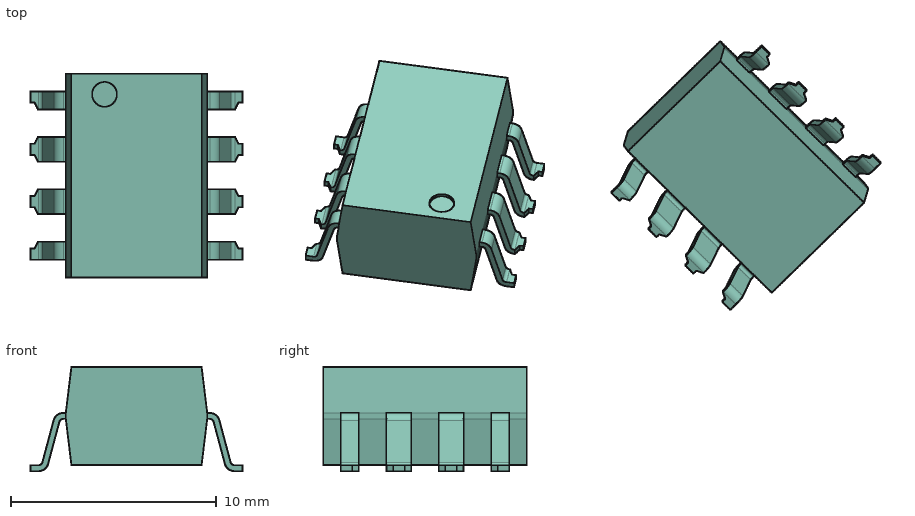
import cadquery as cq
import math

SPAN = 10.3
LENGTH = 9.91
HEIGHT = 5.08

BAND_WIDTH = 6.88
FACE_WIDTH = 6.33
LEAD_THICKNESS = 0.3
STANDOFF = LEAD_THICKNESS
BAND_TOP = 2.84
BAND_BOTTOM = BAND_TOP - LEAD_THICKNESS

MARK_DIAMETER = 1.2
MARK_DEPTH = 0.15
MARK_X = -1.56
MARK_Y = 3.95

LEAD_PITCH = 2.54
LEADS_PER_SIDE = 4
LEAD_HALF_WIDTH = 0.61
TIP_HALF_WIDTH = 0.28
TIP_LENGTH = 0.2
TAPER_LENGTH = 0.16
STUB_LENGTH = 0.11
BEND_INNER_RADIUS = 0.2
BEND_OUTER_RADIUS = BEND_INNER_RADIUS + LEAD_THICKNESS
LEG_LEAN = 15.0


def polar(center, radius, degrees):
    angle = math.radians(degrees)
    return (center[0] + radius * math.cos(angle), center[1] + radius * math.sin(angle))


def make_housing():
    half_band = BAND_WIDTH / 2
    half_face = FACE_WIDTH / 2
    outline = [
        (-half_face, STANDOFF),
        (half_face, STANDOFF),
        (half_band, BAND_BOTTOM),
        (half_band, BAND_TOP),
        (half_face, HEIGHT),
        (-half_face, HEIGHT),
        (-half_band, BAND_TOP),
        (-half_band, BAND_BOTTOM),
    ]
    block = cq.Workplane("XZ").polyline(outline).close().extrude(LENGTH / 2, both=True)
    mark = (
        cq.Workplane("XY", origin=(MARK_X, MARK_Y, HEIGHT - MARK_DEPTH))
        .circle(MARK_DIAMETER / 2)
        .extrude(MARK_DEPTH)
    )
    return block.cut(mark)


def make_lead_strip():
    """Gull-wing strip on the -X side, bent in the XZ plane and centred on Y = 0."""
    tip_x = -SPAN / 2
    root_x = -BAND_WIDTH / 2

    lean = math.radians(LEG_LEAN)
    bend_radii = BEND_INNER_RADIUS + BEND_OUTER_RADIUS
    upper_bend = (root_x - STUB_LENGTH, BAND_TOP - BEND_OUTER_RADIUS)
    foot_bend_z = BEND_OUTER_RADIUS
    leg_length = (upper_bend[1] - foot_bend_z + bend_radii * math.sin(lean)) / math.cos(lean)
    bend_run = bend_radii * math.cos(lean) + leg_length * math.sin(lean)
    foot_bend = (upper_bend[0] - bend_run, foot_bend_z)

    foot_start, foot_end = -90, -LEG_LEAN
    foot_middle = (foot_start + foot_end) / 2
    upper_start, upper_end = 90, 180 - LEG_LEAN
    upper_middle = (upper_start + upper_end) / 2

    profile = (
        cq.Workplane("XZ")
        .moveTo(tip_x, 0)
        .lineTo(*polar(foot_bend, BEND_OUTER_RADIUS, foot_start))
        .threePointArc(
            polar(foot_bend, BEND_OUTER_RADIUS, foot_middle),
            polar(foot_bend, BEND_OUTER_RADIUS, foot_end),
        )
        .lineTo(*polar(upper_bend, BEND_INNER_RADIUS, upper_end))
        .threePointArc(
            polar(upper_bend, BEND_INNER_RADIUS, upper_middle),
            polar(upper_bend, BEND_INNER_RADIUS, upper_start),
        )
        .lineTo(root_x, BAND_BOTTOM)
        .lineTo(root_x, BAND_TOP)
        .lineTo(*polar(upper_bend, BEND_OUTER_RADIUS, upper_start))
        .threePointArc(
            polar(upper_bend, BEND_OUTER_RADIUS, upper_middle),
            polar(upper_bend, BEND_OUTER_RADIUS, upper_end),
        )
        .lineTo(*polar(foot_bend, BEND_INNER_RADIUS, foot_end))
        .threePointArc(
            polar(foot_bend, BEND_INNER_RADIUS, foot_middle),
            polar(foot_bend, BEND_INNER_RADIUS, foot_start),
        )
        .lineTo(tip_x, LEAD_THICKNESS)
        .close()
    )
    return profile.extrude(LEAD_HALF_WIDTH, both=True)


def make_lead(center_y, low_half_width, high_half_width):
    """Lead on the -X side; each half width is the reach of the leg from center_y toward -Y or +Y."""
    tip_x = -SPAN / 2
    root_x = -BAND_WIDTH / 2
    taper_start_x = tip_x + TIP_LENGTH
    taper_end_x = taper_start_x + TAPER_LENGTH
    plan = [
        (tip_x, -TIP_HALF_WIDTH),
        (taper_start_x, -TIP_HALF_WIDTH),
        (taper_end_x, -low_half_width),
        (root_x, -low_half_width),
        (root_x, high_half_width),
        (taper_end_x, high_half_width),
        (taper_start_x, TIP_HALF_WIDTH),
        (tip_x, TIP_HALF_WIDTH),
    ]
    blank = cq.Workplane("XY").polyline(plan).close().extrude(BAND_TOP)
    return make_lead_strip().intersect(blank).translate((0, center_y, 0))


def make_leads():
    leads = []
    last = LEADS_PER_SIDE - 1
    for index in range(LEADS_PER_SIDE):
        center_y = (index - last / 2) * LEAD_PITCH
        low_half_width = TIP_HALF_WIDTH if index == 0 else LEAD_HALF_WIDTH
        high_half_width = TIP_HALF_WIDTH if index == last else LEAD_HALF_WIDTH
        lead = make_lead(center_y, low_half_width, high_half_width)
        leads.append(lead.solids().val())
        leads.append(lead.mirror("YZ").solids().val())
    return leads


housing = make_housing()
leads = make_leads()

result = cq.Compound.makeCompound([housing.solids().val(), *leads])